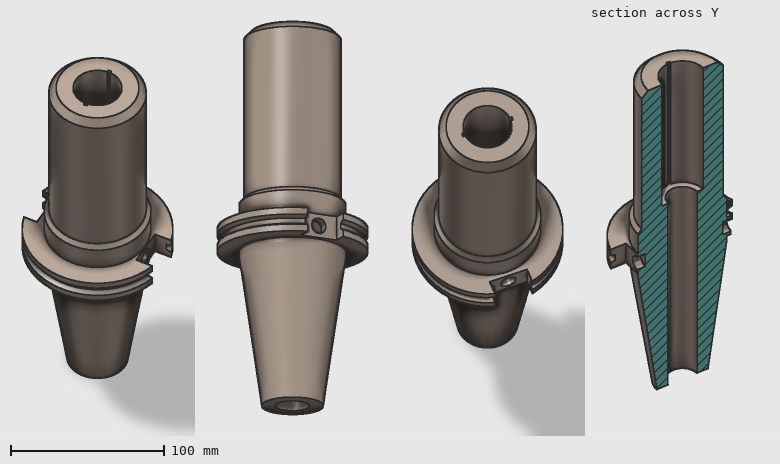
import cadquery as cq

gauge_diameter = 69.8
taper_length = 101.5
taper_ratio = 7 / 24
total_length = 254.0
nose_z = total_length - taper_length

flange_diameter = 98.5
flange_bottom_z = 3.0
flange_top_z = 19.0
groove_depth = 3.5
groove_opening = 6.9
groove_floor = 3.5

collar_diameter = gauge_diameter
nose_diameter = 63.8
collar_top_z = 38.4
nose_chamfer = 4.8

slot_width = 26.2
left_slot_floor = 37.8
right_slot_floor = 35.5
slot_hole_diameter = 10.2
slot_hole_depth = 6.4

bore_diameter = 31.8
bore_depth = 101.5
through_diameter = 22.4
coolant_groove_width = 2.3
coolant_groove_span = 34.8

flange_height = flange_top_z - flange_bottom_z
flange_mid_z = (flange_top_z + flange_bottom_z) / 2


def make_body():
    """Revolve the outer profile: taper, grooved flange, collar and nose."""
    gauge_radius = gauge_diameter / 2
    tail_radius = (gauge_diameter - taper_length * taper_ratio) / 2
    flange_radius = flange_diameter / 2
    groove_radius = flange_radius - groove_depth
    collar_radius = collar_diameter / 2
    nose_radius = nose_diameter / 2
    collar_chamfer = collar_radius - nose_radius
    profile = [
        (0, -taper_length),
        (tail_radius, -taper_length),
        (gauge_radius, 0),
        (gauge_radius, flange_bottom_z),
        (flange_radius, flange_bottom_z),
        (flange_radius, flange_mid_z - groove_opening / 2),
        (groove_radius, flange_mid_z - groove_floor / 2),
        (groove_radius, flange_mid_z + groove_floor / 2),
        (flange_radius, flange_mid_z + groove_opening / 2),
        (flange_radius, flange_top_z),
        (collar_radius, flange_top_z),
        (collar_radius, collar_top_z - collar_chamfer),
        (nose_radius, collar_top_z),
        (nose_radius, nose_z - nose_chamfer),
        (nose_radius - nose_chamfer, nose_z),
        (0, nose_z),
    ]
    return cq.Workplane("XZ").polyline(profile).close().revolve(360, (0, 0), (0, 1))


def make_drive_slot(side, floor_distance):
    """Slot through the flange with a blind hole in its floor; side is -1 or +1 along X."""
    slot_length = flange_diameter / 2
    slot = (
        cq.Workplane("XY")
        .box(slot_length, slot_width, flange_height)
        .translate((side * (floor_distance + slot_length / 2), 0, flange_mid_z))
    )
    hole = (
        cq.Workplane("YZ", origin=(side * floor_distance, 0, flange_mid_z))
        .circle(slot_hole_diameter / 2)
        .extrude(-side * slot_hole_depth)
    )
    return slot.union(hole)


def make_bore():
    """Stepped bore along the axis with two opposite coolant grooves."""
    nose_plane = cq.Workplane("XY", origin=(0, 0, nose_z))
    bore = nose_plane.circle(bore_diameter / 2).extrude(-bore_depth)
    grooves = nose_plane.rect(coolant_groove_width, coolant_groove_span).extrude(-bore_depth)
    through_hole = nose_plane.circle(through_diameter / 2).extrude(-total_length)
    return bore.union(grooves).union(through_hole)


result = (
    make_body()
    .cut(make_drive_slot(-1, left_slot_floor))
    .cut(make_drive_slot(1, right_slot_floor))
    .cut(make_bore())
)